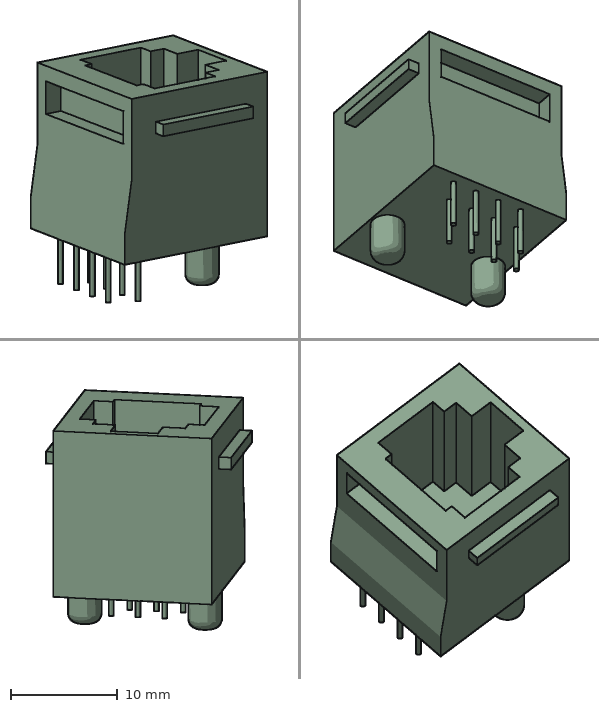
import cadquery as cq

overall_width = 17.45
overall_height = 20.9
body_width = 15.11
body_depth = 16.45
body_height = 16.05

upper_depth = 15.68
slope_bottom = 3.07
slope_top = 8.03

latch_half_width = 2.25
shoulder_half_width = 4.4
plug_half_width = 5.95
contact_half_width = 4.14
latch_rear = 0.95
shoulder_rear = 3.35
plug_rear = 4.87
plug_front = 11.85
contact_front = 12.62
cavity_depth = 12.55

window_width = 12.4
window_height = 3.2
window_top_gap = 1.5
window_depth = 1.75

rib_length = 10.37
rib_thickness = 1.15
rib_top_gap = 2.7
left_rib_rear = 3.6
right_rib_rear = 2.49

peg_diameter = 3.2
peg_length = 3.93
peg_end_radius = 0.92
peg_spacing = 11.47
peg_rear = 6.23

pin_diameter = 0.5
pin_count = 8
pin_pitch = 1.27
front_row_rear = 15.22
back_row_rear = 12.69

overlap = 0.2


def make_body():
    profile = [
        (0, 0),
        (-body_depth, 0),
        (-body_depth, slope_bottom),
        (-upper_depth, slope_top),
        (-upper_depth, body_height),
        (0, body_height),
    ]
    return cq.Workplane("YZ").polyline(profile).close().extrude(body_width / 2, both=True)


def make_cavity():
    right_side = [
        (latch_half_width, -latch_rear),
        (latch_half_width, -shoulder_rear),
        (shoulder_half_width, -shoulder_rear),
        (shoulder_half_width, -plug_rear),
        (plug_half_width, -plug_rear),
        (plug_half_width, -plug_front),
        (contact_half_width, -plug_front),
        (contact_half_width, -contact_front),
    ]
    left_side = [(-x, y) for x, y in reversed(right_side)]
    plane = cq.Workplane("XY").workplane(offset=body_height)
    return plane.polyline(right_side + left_side).close().extrude(-cavity_depth)


def make_window():
    bottom = body_height - window_top_gap - window_height
    return (
        cq.Workplane("XY")
        .box(window_width, window_depth, window_height, centered=(True, False, False))
        .translate((0, -upper_depth, bottom))
    )


def make_rib(side, rear):
    """Rib on the left (side = -1) or right (side = 1) wall, starting at distance rear."""
    reach = (overall_width - body_width) / 2 + overlap
    center_x = side * (overall_width - reach) / 2
    center_y = -rear - rib_length / 2
    center_z = body_height - rib_top_gap - rib_thickness / 2
    return cq.Workplane("XY").box(reach, rib_length, rib_thickness).translate((center_x, center_y, center_z))


def make_peg(x):
    peg = cq.Workplane("XY").circle(peg_diameter / 2).extrude(overlap + peg_length)
    return peg.faces("<Z").edges().fillet(peg_end_radius).translate((x, -peg_rear, -peg_length))


def make_pin(index):
    x = (index - (pin_count - 1) / 2) * pin_pitch
    rear = front_row_rear if index % 2 == 0 else back_row_rear
    pin_length = overall_height - body_height
    pin = cq.Workplane("XY").circle(pin_diameter / 2).extrude(overlap + pin_length)
    return pin.translate((x, -rear, -pin_length))


result = make_body().cut(make_cavity()).cut(make_window())
result = result.union(make_rib(-1, left_rib_rear))
result = result.union(make_rib(1, right_rib_rear))
for side in (-1, 1):
    result = result.union(make_peg(side * peg_spacing / 2))
for index in range(pin_count):
    result = result.union(make_pin(index))